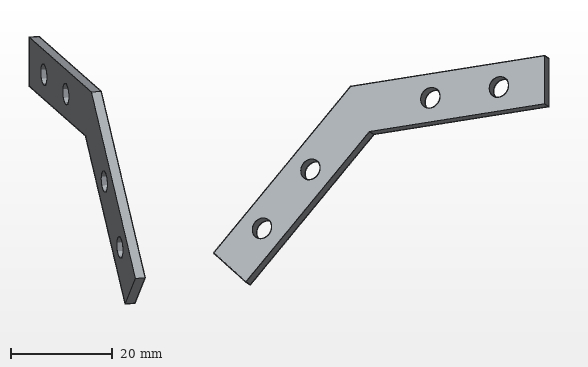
import cadquery as cq
import math

overall_length = 72.55
arm_width = 10.0
thickness = 2.0
bend_angle = 45.0
hole_diameter = 4.2
hole_end_distance = 10.0
hole_pitch = 15.0
holes_per_arm = 2

bend = math.radians(bend_angle)
outer_arm_length = overall_length / (1 + math.cos(bend))
inner_arm_length = outer_arm_length - arm_width * math.tan(bend / 2)


def make_arm():
    """Level arm with its mitred end's outer corner at the origin, extending towards -X."""
    outline = [
        (0, 0),
        (-outer_arm_length, 0),
        (-outer_arm_length, -arm_width),
        (inner_arm_length - outer_arm_length, -arm_width),
    ]
    first_hole_x = hole_end_distance - outer_arm_length
    hole_centers = [(first_hole_x + i * hole_pitch, -arm_width / 2) for i in range(holes_per_arm)]
    arm = cq.Workplane("XZ").polyline(outline).close().extrude(thickness)
    holes = cq.Workplane("XZ").pushPoints(hole_centers).circle(hole_diameter / 2).extrude(thickness)
    return arm.cut(holes)


level_arm = make_arm()

sloping_arm = level_arm.mirror("YZ").rotate((0, 0, 0), (0, 1, 0), bend_angle)

result = level_arm.union(sloping_arm).clean()